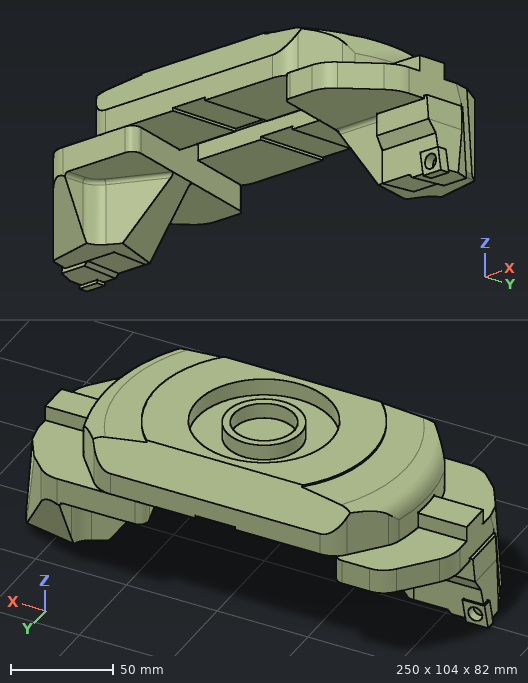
import cadquery as cq
import math


half_width = 52.0
bevel_angle = 50.0
corner_radius = 15.5
big = 500.0
reach = 0.2

bridge_top = 30.0
bridge_end_radius = 90.0
bridge_corner_x = 65.0
bridge_end_rounding = 15.0
plateau_radius = 60.0
shoulder_angle = 8.5
crown_radius = 13.7
crown_base = 12.7
side_base = 12.0
side_angle = 30.0
recess_diameter = 74.0
recess_depth = 9.2
boss_diameter = 41.0
boss_drop = 0.7
bore_diameter = 33.0
groove_width = 22.0
groove_depth = 1.5
keyway_height = 8.7

holder_end = 116.2
flank_reach = 6.2
plate_thickness = 13.5
key_width = 17.2
key_height = 8.2
cutting_corner_x = 92.2
trailing_corner_x = 93.7
trailing_angle = 45.0
holder_end_rounding = 20.0
inner_cutting_x = 66.0
inner_trailing_x = 37.7
inner_rounding = 5.0
block_floor = -48.5
block_face = 1.7
block_lean = 38.8
rear_angle = 27.0
rear_inner_y = -13.7
rib_wall_x = 85.7
rib_rounding = 11.0
root_rounding = 2.2
flank_rounding = 1.7
floor_relief = 3.0

rib_bevel = ((-97.7, -47.5, -19.7), (-114.7, -31.0, -47.0), (-85.2, -37.0, -47.0))
end_flank = ((-115.5, -20.0, 0), (-119.0, -20.0, -46.0), (-114.2, -26.0, 0))
corner_flank = ((-114.2, -26.0, 0), (-106.2, -39.5, 0), (-115.0, -30.7, -46.0))

cassette_inner = 83.5
cassette_top = -12.0
cassette_back = -20.0
cassette_face = 5.5
face_step_top = -24.7
face_step_bottom = -31.5
cassette_floor = -50.5
cassette_top_x = 118.0
cassette_bend_x = 119.2
cassette_floor_x = 124.0
toe_x = 104.2
toe_run = 2.2
cassette_flank = ((-118.0, -18.5, -12.0), (-124.0, -10.2, -50.5), (-120.0, -20.0, -50.5))

insert_top = -39.5
insert_floor = -52.0
insert_top_x = 123.0
insert_tip_x = 125.0
insert_width = 12.2
insert_face = 2.7
insert_thickness = 5.5
insert_hole_diameter = 7.7


def tangent(degrees):
    return math.tan(math.radians(degrees))


def box(x0, x1, y0, y1, z0, z1):
    block = cq.Workplane("XY").box(x1 - x0, y1 - y0, z1 - z0, centered=False)
    return block.translate((x0, y0, z0))


def beyond(point, normal):
    """Everything on the side of a plane that its normal points to."""
    plane = cq.Plane(origin=point, normal=normal)
    return cq.Workplane(plane).rect(big, big).extrude(big)


def outside(points):
    """Everything on the outer (-X) side of the plane through three points."""
    a, b, c = (cq.Vector(*point) for point in points)
    normal = (b - a).cross(c - a)
    if normal.x > 0:
        normal = -normal
    return beyond(points[0], normal.toTuple())


def below(line):
    """Everything under an X-Z line, tilted so that it rises towards -Y."""
    outline = line + [(line[-1][0], -big), (line[0][0], -big)]
    tool = cq.Workplane("XZ").polyline(outline).close().extrude(big, both=True)
    return tool.rotate((0, 0, block_floor), (1, 0, block_floor), -floor_relief)


def round_corner(body, x, y, radius):
    """Round the vertical edge that stands at a plan position."""
    spot = cq.selectors.BoxSelector((x - reach, y - reach, -big), (x + reach, y + reach, big))
    return body.edges(spot).fillet(radius)


def bridge_plan():
    """Long sides, bevelled corners and round ends, as a plain prism."""
    bevel = math.radians(bevel_angle)
    point_y = half_width - (bridge_end_radius - bridge_corner_x) * tangent(bevel_angle)
    upper = [(-bridge_end_radius, point_y), (-bridge_corner_x, half_width),
             (bridge_corner_x, half_width), (bridge_end_radius, point_y)]
    lower = [(-x, -y) for x, y in upper]
    prism = cq.Workplane("XY").polyline(upper + lower).close().extrude(bridge_top)
    prism = prism.intersect(cq.Workplane("XY").circle(bridge_end_radius).extrude(bridge_top))

    bevel_distance = bridge_corner_x * math.sin(bevel) + half_width * math.cos(bevel)
    meeting = math.pi / 2 - bevel - math.acos(bevel_distance / bridge_end_radius)
    end_x = bridge_end_radius * math.cos(meeting)
    end_y = bridge_end_radius * math.sin(meeting)
    for x_side in (-1, 1):
        for y_side in (-1, 1):
            prism = round_corner(prism, x_side * bridge_corner_x, y_side * half_width, corner_radius)
            prism = round_corner(prism, x_side * end_x, y_side * end_y, bridge_end_rounding)
    return prism


def crown():
    """Turned envelope: plateau, conical shoulder and rounded rim."""
    rim_center_x = bridge_end_radius - crown_radius

    def on_rim(degrees):
        angle = math.radians(degrees)
        return (rim_center_x + crown_radius * math.cos(angle), crown_base + crown_radius * math.sin(angle))

    shoulder_start = 90 - shoulder_angle
    shoulder_x, shoulder_z = on_rim(shoulder_start)
    plateau_foot = shoulder_z + (shoulder_x - plateau_radius) * tangent(shoulder_angle)
    return (
        cq.Workplane("XZ")
        .lineTo(bridge_end_radius, 0)
        .lineTo(bridge_end_radius, crown_base)
        .threePointArc(on_rim(shoulder_start / 2), (shoulder_x, shoulder_z))
        .lineTo(plateau_radius, plateau_foot)
        .lineTo(plateau_radius, bridge_top)
        .lineTo(0, bridge_top)
        .close()
        .revolve(360, (0, 0, 0), (0, 1, 0))
    )


def make_bridge():
    body = bridge_plan().intersect(crown())

    lean = math.radians(side_angle)
    for side in (-1, 1):
        normal = (0, side * math.cos(lean), math.sin(lean))
        body = body.cut(beyond((0, side * half_width, side_base), normal))

    recess_floor = cq.Workplane("XY", origin=(0, 0, bridge_top - recess_depth))
    recess = recess_floor.circle(recess_diameter / 2).extrude(recess_depth)
    boss = recess_floor.circle(boss_diameter / 2).circle(bore_diameter / 2).extrude(recess_depth - boss_drop)
    body = body.cut(recess.cut(boss))

    body = body.cut(box(-groove_width / 2, groove_width / 2, -big, big, 0, groove_depth))
    return body.cut(box(-big, big, -key_width / 2, key_width / 2, 0, keyway_height))


def inner_end_x(y):
    """X of the slanting inner end of the plate at a given Y."""
    share = (half_width - y) / (2 * half_width)
    return -inner_cutting_x + share * (inner_cutting_x - inner_trailing_x)


def holder_plan(bottom, top):
    """Prism with the holder's plan outline, overlong at the trailing outer end."""
    flank_x = holder_end + flank_reach
    cutting_end_y = half_width - (holder_end - cutting_corner_x) * tangent(bevel_angle)
    trailing_end_y = -half_width + (flank_x - trailing_corner_x) * tangent(trailing_angle)
    outline = [
        (-inner_trailing_x, -half_width),
        (-inner_cutting_x, half_width),
        (-cutting_corner_x, half_width),
        (-holder_end, cutting_end_y),
        (-holder_end, cassette_back),
        (-flank_x, cassette_back),
        (-flank_x, trailing_end_y),
        (-trailing_corner_x, -half_width),
    ]
    prism = cq.Workplane("XY", origin=(0, 0, bottom)).polyline(outline).close().extrude(top - bottom)
    prism = round_corner(prism, -inner_trailing_x, -half_width, inner_rounding)
    prism = round_corner(prism, -inner_cutting_x, half_width, inner_rounding)
    prism = round_corner(prism, -cutting_corner_x, half_width, corner_radius)
    prism = round_corner(prism, -holder_end, cutting_end_y, holder_end_rounding)
    return round_corner(prism, -trailing_corner_x, -half_width, corner_radius)


def block_prism():
    """Upright block under the plate, with a rear rib at its outer end."""
    def rear_y(x):
        return rear_inner_y + (x - inner_end_x(rear_inner_y)) * tangent(rear_angle)

    wall_y = rear_y(-rib_wall_x)
    outline = [(-big, block_face), (0, block_face), (0, rear_y(0)), (-rib_wall_x, wall_y),
               (-rib_wall_x, -big), (-big, -big)]
    prism = cq.Workplane("XY", origin=(0, 0, insert_floor)).polyline(outline).close().extrude(-insert_floor)
    prism = round_corner(prism, -rib_wall_x, wall_y, rib_rounding)
    return prism.intersect(holder_plan(insert_floor, 0))


def round_block_root(body):
    """Round the concave edges where the block meets the plate's underside."""
    low = (-holder_end + reach, -half_width + reach, -plate_thickness - reach)
    high = (inner_end_x(block_face), block_face + reach, -plate_thickness + reach)
    return body.edges(cq.selectors.BoxSelector(low, high)).fillet(root_rounding)


def round_flank_foot(body):
    """Round the lower edge of the narrow outer face beside the cassette."""
    low = (-holder_end - flank_reach, corner_flank[0][1], cassette_floor)
    high = (-holder_end, cassette_back - reach, end_flank[1][2])
    return body.edges(cq.selectors.BoxSelector(low, high)).edges("not |Z").fillet(flank_rounding)


def inner_side_cut():
    """Wedge removed below the plate, starting at the plate's inner end."""
    end_slant = (inner_cutting_x - inner_trailing_x) / (2 * half_width)
    normal = (1, end_slant, -tangent(block_lean))
    wedge = beyond((inner_end_x(0), 0, -plate_thickness), normal)
    return wedge.intersect(box(-big, big, -big, big, -big, -plate_thickness))


def make_holder():
    body = holder_plan(-plate_thickness, 0).union(block_prism())
    body = round_block_root(body)
    body = body.cut(inner_side_cut())
    body = body.cut(below([(-big, block_floor), (big, block_floor)]))
    for face in (rib_bevel, end_flank, corner_flank):
        body = body.cut(outside(face))
    seat = box(-big, -cassette_inner, cassette_back, cassette_face, -big, cassette_top)
    body = round_flank_foot(body.cut(seat))
    key_band = box(-big, 0, -key_width / 2, key_width / 2, 0, key_height)
    return body.union(holder_plan(0, key_height).intersect(key_band))


def make_cassette():
    section = [
        (cassette_face, cassette_top),
        (cassette_face, face_step_top),
        (block_face, face_step_bottom),
        (block_face, insert_floor),
        (cassette_back, insert_floor),
        (cassette_back, cassette_top),
    ]
    body = cq.Workplane("YZ").polyline(section).close().extrude(-big)

    side = [
        (-cassette_inner, cassette_top),
        (-cassette_top_x, cassette_top),
        (-cassette_bend_x, face_step_top),
        (-cassette_floor_x, cassette_floor),
        (-cassette_floor_x, insert_floor),
        (-cassette_inner, insert_floor),
    ]
    body = body.intersect(cq.Workplane("XZ").polyline(side).close().extrude(big, both=True))

    body = body.cut(outside(cassette_flank))
    underside = [(-big, cassette_floor), (-toe_x, cassette_floor),
                 (-toe_x + toe_run, block_floor), (big, block_floor)]
    body = body.cut(below(underside))
    return body.cut(insert_blank())


def insert_blank():
    outline = [
        (-insert_top_x, insert_top),
        (-insert_tip_x, insert_floor),
        (-insert_tip_x + insert_width, insert_floor),
        (-insert_top_x + insert_width, insert_top),
    ]
    face = cq.Workplane("XZ", origin=(0, insert_face, 0))
    return face.polyline(outline).close().extrude(insert_thickness)


def make_insert():
    center_x = -(insert_top_x + insert_tip_x - insert_width) / 2
    center_z = (insert_top + insert_floor) / 2
    face = cq.Workplane("XZ", origin=(center_x, insert_face, center_z))
    return insert_blank().cut(face.circle(insert_hole_diameter / 2).extrude(insert_thickness))


def pair(body):
    """The -X body and its copy turned half a turn about Z."""
    return [body.rotate((0, 0, 0), (0, 0, 1), turn).val() for turn in (0, 180)]


bridge = make_bridge()
holders = pair(make_holder())
cassettes = pair(make_cassette())
inserts = pair(make_insert())
result = cq.Compound.makeCompound([bridge.val(), *holders, *cassettes, *inserts])